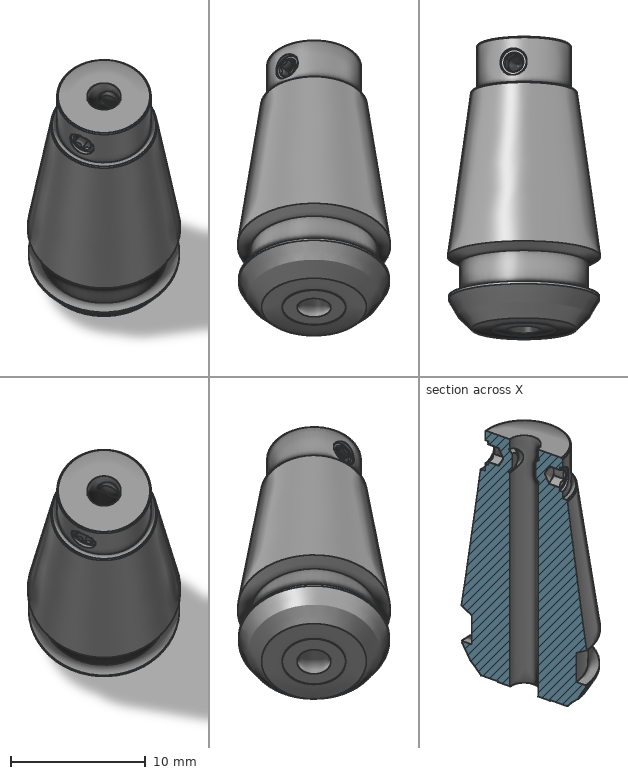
import cadquery as cq
import math

total_height = 21.5
shoulder_z = 18.0
groove_top_z = 5.0
groove_bottom_z = 2.5
flange_rim_z = 2.3
flange_break_z = 1.05
foot_height = 0.06

neck_diameter = 7.0
cone_top_diameter = 7.9
cone_bottom_diameter = 11.35
groove_diameter = 9.5
flange_diameter = 11.2
foot_diameter = 4.7
bore_diameter = 2.5

edge_chamfer = 0.1
lip_angle = 30.0
flange_upper_angle = 30.0
flange_lower_angle = 45.0

screw_diameter = 2.01
screw_z = 19.6
screw_face_y = 3.25
screw_tip_y = 1.04
tip_chamfer = 0.3
face_chamfer = 0.05
socket_sides = 6
socket_across_flats = 1.3
corner_up_angle = 90.0
socket_depth = 1.0
socket_mouth_angle = 60.0
socket_point_angle = 120.0


def tan_deg(angle):
    """Tangent of an angle in degrees."""
    return math.tan(math.radians(angle))


def make_body():
    """Revolved outline of the body around Z, without holes."""
    neck_radius = neck_diameter / 2
    cone_top_radius = cone_top_diameter / 2
    cone_bottom_radius = cone_bottom_diameter / 2
    groove_radius = groove_diameter / 2
    flange_radius = flange_diameter / 2
    foot_radius = foot_diameter / 2

    lip_z = groove_top_z + (cone_bottom_radius - groove_radius) * tan_deg(lip_angle)
    break_radius = flange_radius - (flange_rim_z - flange_break_z) * tan_deg(flange_upper_angle)
    base_radius = break_radius - (flange_break_z - foot_height) * tan_deg(flange_lower_angle)

    outline = [
        (0, 0),
        (foot_radius, 0),
        (foot_radius, foot_height),
        (base_radius, foot_height),
        (break_radius, flange_break_z),
        (flange_radius, flange_rim_z),
        (flange_radius, groove_bottom_z),
        (groove_radius, groove_bottom_z),
        (groove_radius, groove_top_z),
        (cone_bottom_radius, lip_z),
        (cone_top_radius, shoulder_z - edge_chamfer),
        (cone_top_radius - edge_chamfer, shoulder_z),
        (neck_radius, shoulder_z),
        (neck_radius, total_height - edge_chamfer),
        (neck_radius - edge_chamfer, total_height),
        (0, total_height),
    ]
    return cq.Workplane("XZ").polyline(outline).close().revolve(360, (0, 0), (0, 1))


def cut_bore(body):
    """Bore through the whole length."""
    bore = cq.Workplane("XY").circle(bore_diameter / 2).extrude(total_height)
    return body.cut(bore)


def cut_cross_hole(body):
    """Hole for the set screws, through both walls of the neck."""
    hole = (
        cq.Workplane("XZ", origin=(0, 0, screw_z))
        .circle(screw_diameter / 2)
        .extrude(neck_diameter / 2, both=True)
    )
    return body.cut(hole)


def make_socket():
    """Hexagon socket of the -Y screw, with countersunk mouth and drill point."""
    flat_radius = socket_across_flats / 2
    corner_radius = flat_radius / math.cos(math.pi / socket_sides)
    floor_y = -screw_face_y + socket_depth
    point_depth = flat_radius / tan_deg(socket_point_angle / 2)
    mouth_depth = (corner_radius - flat_radius) / tan_deg(socket_mouth_angle / 2)

    hexagon = (
        cq.Workplane("XZ", origin=(0, floor_y, screw_z))
        .transformed(rotate=(0, 0, corner_up_angle))
        .polygon(socket_sides, 2 * corner_radius)
        .extrude(socket_depth)
    )
    axis = cq.Vector(0, 1, 0)
    point = cq.Solid.makeCone(flat_radius, 0, point_depth, cq.Vector(0, floor_y, screw_z), axis)
    mouth = cq.Solid.makeCone(
        corner_radius, flat_radius, mouth_depth, cq.Vector(0, -screw_face_y, screw_z), axis
    )
    return hexagon.union(cq.Workplane(point)).union(cq.Workplane(mouth))


def make_screw():
    """Set screw on the -Y side, chamfered at both ends, its tip standing into the bore."""
    shank = (
        cq.Workplane("XZ", origin=(0, -screw_tip_y, screw_z))
        .circle(screw_diameter / 2)
        .extrude(screw_face_y - screw_tip_y)
        .faces(">Y")
        .chamfer(tip_chamfer)
        .faces("<Y")
        .chamfer(face_chamfer)
    )
    return shank.cut(make_socket())


front_screw = make_screw()
back_screw = front_screw.rotate((0, 0, 0), (0, 0, 1), 180)
body = cut_cross_hole(cut_bore(make_body()))
result = body.union(front_screw).union(back_screw)